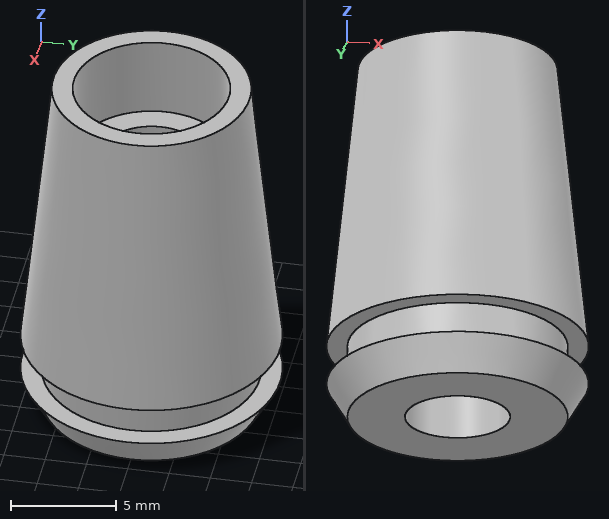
import cadquery as cq

height = 18.0
outer_radius = 12.5 / 2
top_radius = 9.5 / 2

collar_height = 1.71
groove_top = 3.64
groove_radius = 10.5 / 2
foot_radius = groove_radius

bore_radius = 5.0 / 2
counterbore_radius = 7.5 / 2
counterbore_depth = 4.0
counterbore_floor = height - counterbore_depth

profile = (
    cq.Workplane("XZ")
    .moveTo(bore_radius, 0)
    .lineTo(foot_radius, 0)
    .lineTo(outer_radius, collar_height)
    .lineTo(groove_radius, collar_height)
    .lineTo(groove_radius, groove_top)
    .lineTo(outer_radius, groove_top)
    .lineTo(top_radius, height)
    .lineTo(counterbore_radius, height)
    .lineTo(counterbore_radius, counterbore_floor)
    .lineTo(bore_radius, counterbore_floor)
    .close()
)

result = profile.revolve(360, (0, 0, 0), (0, 1, 0))